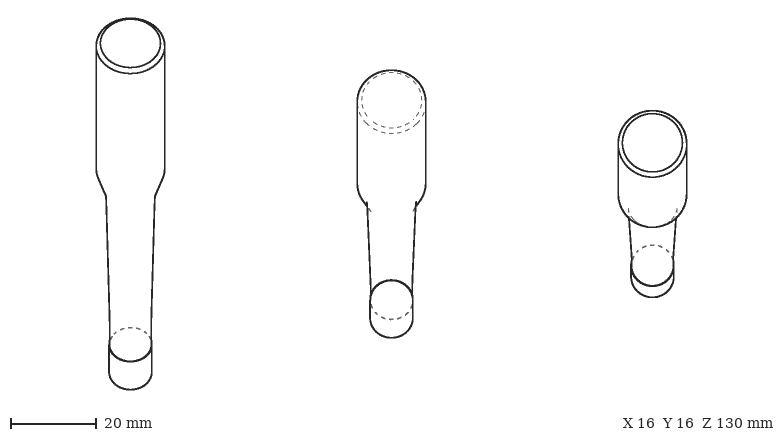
import cadquery as cq

total_length = 130.0
shank_radius = 16.0 / 2

head_length = 11.7
head_radius = 10.0 / 2
corner_radius = 1.0

collar_radius = 9.8 / 2
collar_top = 20.3
neck_top = 70.0
neck_top_radius = 5.7
cone_top = 80.6
blend_length = 2.9
cone_bottom = neck_top + blend_length
cone_bottom_radius = 6.1
top_chamfer = 1.0


def make_head():
    """Short cylinder with a rounded lower edge."""
    return cq.Workplane("XY").circle(head_radius).extrude(head_length).faces("<Z").edges().fillet(corner_radius)


def make_holder():
    """Revolved holder with a concave blend between its neck and cone."""
    return (
        cq.Workplane("XZ")
        .moveTo(0, head_length)
        .lineTo(collar_radius, head_length)
        .lineTo(collar_radius, collar_top)
        .lineTo(neck_top_radius, neck_top)
        .tangentArcPoint((cone_bottom_radius, cone_bottom), relative=False)
        .lineTo(shank_radius, cone_top)
        .lineTo(shank_radius, total_length - top_chamfer)
        .lineTo(shank_radius - top_chamfer, total_length)
        .lineTo(0, total_length)
        .close()
        .revolve(360, (0, 0), (0, 1))
    )


head = make_head()
holder = make_holder()
result = cq.Compound.makeCompound([head.val(), holder.val()])